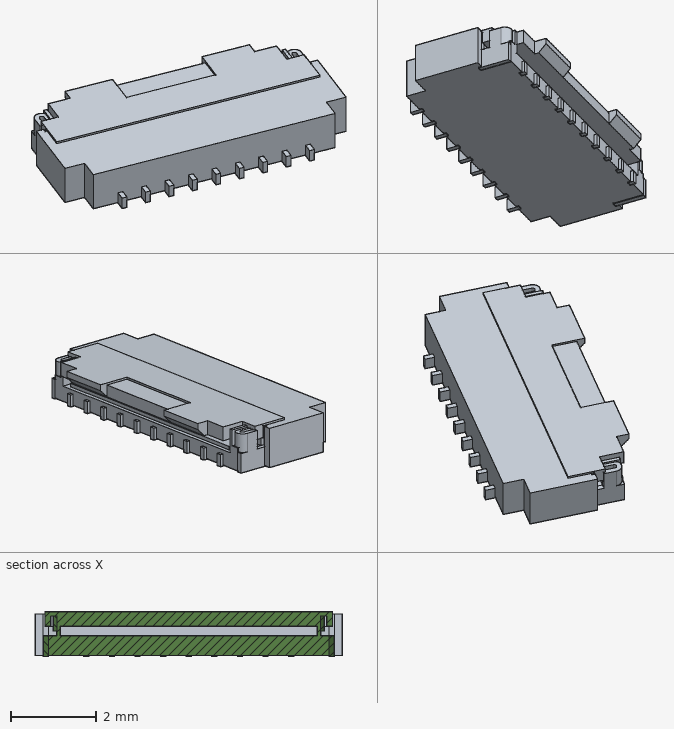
import cadquery as cq
import math


standoff = 0.02
housing_top = 1.0
cover_top = 1.05
cover_bottom = 0.705
plate_top = 0.49
entry_floor = 0.4
slot_floor = plate_top
nail_top = 0.95
nail_inner_bottom = 0.6

housing_front = 0.43
block_front = 1.15
block_rear = 2.81
housing_rear = 3.31
half_length = 3.6
rear_half_width = 3.095
entry_half_width = 3.01
slot_half_width = 2.86
slot_step_x = 0.54

lip_front = 0.0
lip_rear = 0.195
shoulder_x = 0.3
notch_x = 0.89
cover_rear = 1.81
lip_half_width = 2.36
shoulder_half_width = 2.92
cover_half_width = 3.37
lip_chamfer = lip_rear - lip_front
recess_half_width = 1.145
recess_rear = 0.81
corner_relief_rear = notch_x

nail_outer_y = 3.41
nail_inner_y = 3.095
nail_thickness = 0.12
fold_radius = 0.18
fold_inner_radius = fold_radius - nail_thickness
fold_front = 0.45
fold_x = fold_front + fold_radius
fold_y = nail_outer_y - fold_radius
plate_inner_y = nail_outer_y - nail_thickness
outer_leg_rear = 0.935
inner_leg_rear = 0.98
plate_rear = 1.24
end_wall_top = 0.99

contact_width = 0.12
contact_top = 0.3
front_contact_count = 10
front_contact_span = 5.4
contact_pitch = front_contact_span / (front_contact_count - 1)
front_contact_x = 0.35
front_contact_root = 0.505
rear_contact_count = 9
rear_contact_x = 3.55
rear_contact_root = 3.24


def box(x_range, y_range, z_range):
    """Box between the given limits on each axis."""
    (x0, x1), (y0, y1), (z0, z1) = x_range, y_range, z_range
    return cq.Workplane("XY").box(x1 - x0, y1 - y0, z1 - z0, centered=False).translate((x0, y0, z0))


def centred_box(x_range, half_width, z_range):
    """Box that is symmetric about the XZ plane."""
    return box(x_range, (-half_width, half_width), z_range)


def both_ends(shape):
    """The shape at the +Y end together with its mirror image at the -Y end."""
    return shape.union(shape.mirror("XZ"))


def make_nail():
    """Hold-down nail at the +Y end: an upright plate folded back on itself at the front."""
    trim_offset = fold_y - nail_inner_y
    trim_x = fold_x - math.sqrt(fold_radius**2 - trim_offset**2)
    folded_strip = (
        cq.Workplane("XY", origin=(0, 0, plate_top))
        .moveTo(outer_leg_rear, nail_outer_y)
        .lineTo(fold_x, nail_outer_y)
        .threePointArc((fold_front, fold_y), (trim_x, nail_inner_y))
        .lineTo(inner_leg_rear, nail_inner_y)
        .lineTo(inner_leg_rear, fold_y - fold_inner_radius)
        .lineTo(fold_x, fold_y - fold_inner_radius)
        .threePointArc((fold_x - fold_inner_radius, fold_y), (fold_x, plate_inner_y))
        .lineTo(outer_leg_rear, plate_inner_y)
        .close()
        .extrude(nail_top - plate_top)
    )
    below_inner_leg = box(
        (fold_front, inner_leg_rear),
        (nail_inner_y, plate_inner_y),
        (plate_top, nail_inner_bottom),
    )
    plate = box((housing_front, plate_rear), (plate_inner_y, nail_outer_y), (0, plate_top))
    return folded_strip.cut(below_inner_leg).union(plate)


def make_housing_shell():
    """Housing block with ledges under the nail folds, end walls, cable slot and slots for the nails."""
    z_range = (standoff, housing_top)
    front = centred_box((housing_front, block_front), plate_inner_y, (standoff, slot_floor))
    block = centred_box((block_front, block_rear), half_length, z_range)
    rear = centred_box((block_rear, housing_rear), rear_half_width, z_range)
    fold_ledge = box(
        (housing_front, outer_leg_rear),
        (nail_inner_y, plate_inner_y),
        (standoff, nail_inner_bottom),
    )
    end_wall = box((housing_front, block_front), (entry_half_width, nail_inner_y), (standoff, end_wall_top))
    entry = centred_box((housing_front, slot_step_x), entry_half_width, (entry_floor, slot_floor))
    entry_corner = box(
        (slot_step_x, corner_relief_rear),
        (slot_half_width, entry_half_width),
        (entry_floor, slot_floor),
    )
    nail_slot = box((block_front, plate_rear), (plate_inner_y, nail_outer_y), z_range)
    shell = front.union(block).union(rear).union(both_ends(fold_ledge.union(end_wall)))
    return shell.cut(entry).cut(both_ends(entry_corner)).cut(both_ends(nail_slot))


def make_cover():
    """Stepped cover over the cable slot, with two chamfered lips and a finger recess between them."""
    lower_range = (cover_bottom, cover_top)
    lips = (
        centred_box((lip_front, shoulder_x), lip_half_width, lower_range)
        .faces("<X").edges("<Z").chamfer(lip_chamfer)
    )
    shoulder = centred_box((shoulder_x, notch_x), shoulder_half_width, lower_range)
    body = centred_box((notch_x, block_front), cover_half_width, lower_range)
    rear_flange = centred_box((block_front, cover_rear), cover_half_width, (housing_top, cover_top))
    finger_gap = centred_box((lip_front, lip_rear), recess_half_width, lower_range)
    recess = centred_box((lip_rear, recess_rear), recess_half_width, (housing_top, cover_top))
    outer_leg_pocket = box((notch_x, outer_leg_rear), (nail_inner_y, cover_half_width), (cover_bottom, nail_top))
    inner_leg_pocket = box((notch_x, inner_leg_rear), (nail_inner_y, fold_y), (cover_bottom, nail_top))
    cover = lips.union(shoulder).union(body).union(rear_flange).cut(finger_gap).cut(recess)
    return cover.cut(both_ends(outer_leg_pocket)).cut(both_ends(inner_leg_pocket))


def make_contacts(count, x_range, top):
    """Row of contact tails, centred on the XZ plane."""
    row = cq.Workplane("XY")
    for index in range(count):
        y = (index - (count - 1) / 2) * contact_pitch
        row = row.union(box(x_range, (y - contact_width / 2, y + contact_width / 2), (0, top)))
    return row


def make_housing():
    """Housing with its cover and contact tails."""
    front_contacts = make_contacts(front_contact_count, (front_contact_x, front_contact_root), contact_top)
    rear_contacts = make_contacts(rear_contact_count, (rear_contact_root, rear_contact_x), contact_top)
    return make_housing_shell().union(make_cover()).union(front_contacts).union(rear_contacts)


def make_nails():
    """One nail at each end, the second mirrored across the XZ plane."""
    nails = []
    for mirrored in (False, True):
        nail = make_nail()
        nails.append(nail.mirror("XZ") if mirrored else nail)
    return nails


housing = make_housing()
nails = make_nails()

result = cq.Compound.makeCompound([housing.solids().val(), *[nail.solids().val() for nail in nails]])